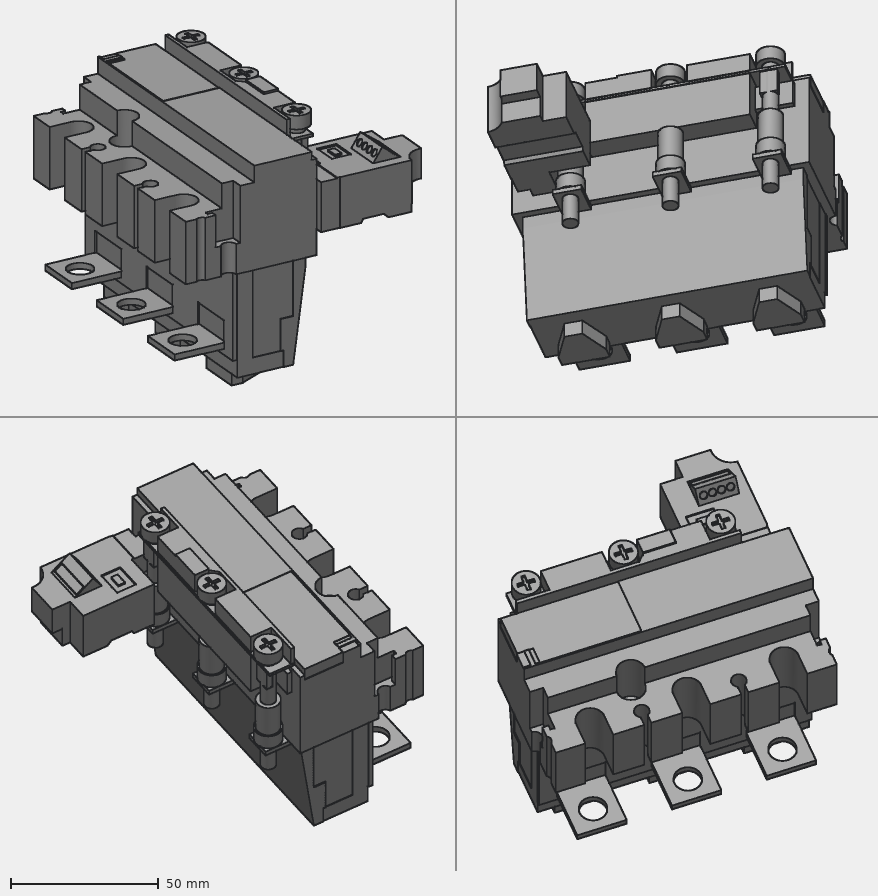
import cadquery as cq
import math

TURN = -1.0
SIDES = (-1, 1)

HOUSING_X = (-52.2, 52.5)
MID_X = sum(HOUSING_X) / 2
HOUSING_REAR = 2.6
TOP_REAR, TOP_FRONT = 0.7, -21.8
SHELF_FRONT = -31.7
BASE_FRONT = -47.8
BOTTOM_Z, BASE_Z, SHELF_Z, TOP_Z = 0.5, 23.7, 32.9, 39.1
REAR_LEDGE_Z = 36.2
LINE_DEPTH = 0.2

COVER_RIGHT, COVER_FRONT, FLAP_BOTTOM = -9.5, -21.3, 34.2
FINGER_SLOTS_X = ((HOUSING_X[0], -49.5), (-47.8, -46.2))
SLOTS_Y = (-21.0, -14.7)

BASE_HALF_WIDTH = 51.4
BASE_TIP_HALF_WIDTH = 50.9
SLOT_RADIUS, SLOT_PITCH, SLOT_Y = 5.0, 35.2, -39.4
KEY_RADIUS, KEY_WIDTH, KEY_Y = 2.6, 2.5, -42.1
MOUNT_X, MOUNT_Y, MOUNT_RADIUS, MOUNT_BORE_RADIUS = -17.4, -31.8, 3.2, 5.0
CORNER_HALF_X, CORNER_REAR, CORNER_FRONT, CORNER_Z = 47.6, -27.3, -36.3, 11.8
CORNER_TAIL_FRONT, CORNER_TAIL_WIDTH = -38.1, 1.6
SIDE_HOLE_RADIUS = 2.7
SIDE_GROOVE_RADIUS = 2.0

LOWER_X = (-49.4, 49.5)
LOWER_REAR, LOWER_REAR_BOTTOM, SLOPE_TOP = 0.1, -4.7, -4.2
STRIP_REAR, STRIP_FOOT_REAR = -20.4, -8.5
PANEL_REAR, PANEL_STEP_Y, PANEL_STEP_Z, PANEL_FOOT = -4.7, -9.6, -21.6, -33.5
PANEL_FRONT, LOWER_FRONT = -28.4, -26.5
PANEL_Z, LOWER_Z = -32.8, -39.6

TERMINAL_X, TERMINAL_PITCH = 0.3, 34.3
TAB_WIDTH, TAB_BOTTOM, TAB_TOP = 17.9, -30.6, -28.3
TAB_HOLE_RADIUS, TAB_HOLE_Y = 4.8, -39.4
WINDOW_WIDTH, WINDOW_TOP, WINDOW_DEPTH = 17.6, -20.1, 0.6
FOOT_WIDTH, FOOT_BOTTOM = 16.8, -45.1
FOOT_FRONT, FOOT_BEND, FOOT_REAR, FOOT_TAPER = -25.2, -20.8, -10.1, 5.3

WALL_X = (-46.0, 35.3)
WALL_FRONT, WALL_REAR, WALL_Z = 0.9, 2.3, 44.4
CARRIER_X = (-33.7, 24.4)
CARRIER_REAR, CARRIER_BOTTOM = 10.6, 18.8
PLATE_X, PLATE_REAR, PLATE_TOP = (-46.1, 35.9), 10.9, 37.3
POCKET_X, POCKET_CHAMFER = (-11.5, 1.5), 2.7
PAD_X, PAD_Y, PAD_TOP = (1.2, 13.2), (4.9, 10.6), 45.1
LUG_WIDTH, LUG_REAR, LUG_BOTTOM = 10.1, 12.0, -1.3
RIB_X, RIB_REAR, RIB_Z = -47.0, 4.5, (25.3, 34.7)
GUIDE_WIDTH, GUIDE_Y, GUIDE_BOTTOM = 6.1, (7.9, 10.3), 27.3
SCREW_X, SCREW_PITCH, SCREW_Y = -4.8, 35.3, 7.7
CROSS_LENGTH, CROSS_WIDTH, CROSS_DEPTH = 6.1, 1.3, 1.0
SCREW_STEPS = (
    (2.7, -11.6, BOTTOM_Z),
    (4.9, BOTTOM_Z, 6.1),
    (4.3, 6.1, CARRIER_BOTTOM),
    (2.7, CARRIER_BOTTOM, PLATE_TOP),
    (2.9, PLATE_TOP, 39.6),
    (4.9, 39.6, 44.7),
)

CONN_X = (21.8, 49.6)
CONN_FRONT, CONN_TOP, CONN_BOTTOM = 13.6, 25.8, 6.6
CONN_SHOULDER_X, CONN_SHOULDER_Y, CONN_REAR = 30.0, 42.2, 49.4
CONN_SCOOP = ((42.8, 49.4), (44.5, 44.0), (49.6, 41.6))
CONN_STEP_Y, CONN_STEP_Z = 45.3, 14.6
NOTCH_Y, NOTCH_Z, CONN_FRONT_Z = (21.8, 32.5), 8.3, 6.9
NECK_X, NECK_STEP_X, NECK_STEP_Y, NECK_TOP = (36.1, 49.4), 45.0, 6.2, 25.5
NECK_ROOT_FRONT = 12.5
WEDGE_X, WEDGE_Y, WEDGE_RIDGE_Y, WEDGE_Z = (30.7, 45.4), (28.9, 39.8), 32.5, 31.0
WEDGE_GROOVE_Y, WEDGE_GROOVE_DEPTH = (35.9, 38.8), 0.4
SOCKET_COUNT, SOCKET_PITCH, SOCKET_RADIUS, SOCKET_DEPTH = 4, 3.3, 1.4, 0.5
LATCH_X, LATCH_Y = (25.0, 35.0), (18.8, 26.4)
LATCH_KEY_X, LATCH_KEY_Y = (27.9, 32.5), (21.5, 24.1)


def box(x, y, z):
    """Block between the two ends given for each axis."""
    size = [abs(ends[1] - ends[0]) for ends in (x, y, z)]
    return cq.Workplane("XY").box(*size, centered=False).translate((min(x), min(y), min(z)))


def centred_box(x, width, y, z):
    return box((x - width / 2, x + width / 2), y, z)


def cylinder(x, y, radius, z):
    return cq.Workplane("XY").workplane(offset=z[0]).center(x, y).circle(radius).extrude(z[1] - z[0])


def side_profile(points, x):
    """Outline in Y and Z swept between two X positions."""
    return cq.Workplane("YZ").workplane(offset=x[0]).polyline(points).close().extrude(x[1] - x[0])


def plan(points, z):
    return cq.Workplane("XY").workplane(offset=z[0]).polyline(points).close().extrude(z[1] - z[0])


def three_of(centre, pitch):
    return [centre + i * pitch for i in (-1, 0, 1)]


def housing():
    body = side_profile([
        (HOUSING_REAR, BOTTOM_Z), (HOUSING_REAR, REAR_LEDGE_Z), (TOP_REAR, REAR_LEDGE_Z),
        (TOP_REAR, TOP_Z), (TOP_FRONT, TOP_Z), (TOP_FRONT, SHELF_Z), (SHELF_FRONT, SHELF_Z),
        (SHELF_FRONT, BASE_Z), (BASE_FRONT, BASE_Z), (BASE_FRONT, BOTTOM_Z),
    ], HOUSING_X)
    full_z = (BOTTOM_Z, TOP_Z)
    for side in SIDES:
        outside = MID_X + side * HOUSING_X[1]
        edge = MID_X + side * BASE_HALF_WIDTH
        tip_edge = MID_X + side * BASE_TIP_HALF_WIDTH
        face = HOUSING_X[0] if side < 0 else HOUSING_X[1]
        corner = MID_X + side * CORNER_HALF_X
        body = body.cut(box((edge, outside), (SHELF_FRONT, BASE_FRONT), (BOTTOM_Z, CORNER_Z)))
        body = body.cut(box((edge, outside), (CORNER_FRONT, BASE_FRONT), full_z))
        body = body.cut(box((tip_edge, outside), (KEY_Y, BASE_FRONT), full_z))
        pocket_z = (CORNER_Z, TOP_Z)
        body = body.cut(box((corner, outside), (CORNER_REAR, CORNER_FRONT), pocket_z))
        tail_x = (corner, corner + side * CORNER_TAIL_WIDTH)
        body = body.cut(box(tail_x, (CORNER_FRONT, CORNER_TAIL_FRONT), pocket_z))
        body = body.cut(cylinder(face, SHELF_FRONT, SIDE_HOLE_RADIUS, full_z))
        body = body.cut(cylinder(edge + side * SIDE_GROOVE_RADIUS / 2, KEY_Y, SIDE_GROOVE_RADIUS, full_z))

    for x in three_of(MID_X, SLOT_PITCH):
        body = body.cut(cylinder(x, SLOT_Y, SLOT_RADIUS, full_z))
        body = body.cut(centred_box(x, 2 * SLOT_RADIUS, (BASE_FRONT, SLOT_Y), full_z))
    for side in SIDES:
        x = MID_X + side * SLOT_PITCH / 2
        body = body.cut(cylinder(x, KEY_Y, KEY_RADIUS, full_z))
        body = body.cut(centred_box(x, KEY_WIDTH, (BASE_FRONT, KEY_Y), full_z))
    body = body.cut(cylinder(MOUNT_X, MOUNT_Y, MOUNT_RADIUS, full_z))
    return body.cut(cylinder(MOUNT_X, MOUNT_Y, MOUNT_BORE_RADIUS, (CORNER_Z, TOP_Z)))


def cover_marks():
    """Shallow recess of the setting cover, its side flap and two finger slots."""
    left = HOUSING_X[0]
    mark_z = (TOP_Z - LINE_DEPTH, TOP_Z)
    marks = box((left, COVER_RIGHT), (SLOTS_Y[1], TOP_REAR), mark_z)
    marks = marks.union(box((FINGER_SLOTS_X[1][1], COVER_RIGHT), (COVER_FRONT, SLOTS_Y[1]), mark_z))
    marks = marks.union(box((left, left + LINE_DEPTH), (SLOTS_Y[1], TOP_REAR), (FLAP_BOTTOM, TOP_Z)))
    for x in FINGER_SLOTS_X:
        marks = marks.union(box(x, SLOTS_Y, (TOP_Z - 2 * LINE_DEPTH, TOP_Z)))
    return marks


def lower_housing():
    body = side_profile([
        (LOWER_REAR, SLOPE_TOP), (LOWER_REAR, BOTTOM_Z), (PANEL_FRONT, BOTTOM_Z), (PANEL_FRONT, PANEL_Z),
        (LOWER_FRONT, PANEL_Z), (LOWER_FRONT, LOWER_Z), (LOWER_REAR_BOTTOM, LOWER_Z),
    ], LOWER_X)
    strip = [
        (STRIP_REAR, BOTTOM_Z), (LOWER_FRONT - LINE_DEPTH, BOTTOM_Z), (LOWER_FRONT - LINE_DEPTH, LOWER_Z),
        (STRIP_FOOT_REAR, LOWER_Z), (STRIP_FOOT_REAR, PANEL_FOOT), (STRIP_REAR, PANEL_FOOT),
    ]
    panel = [
        (PANEL_REAR, BOTTOM_Z), (STRIP_REAR, BOTTOM_Z), (STRIP_REAR, PANEL_FOOT),
        (PANEL_STEP_Y, PANEL_FOOT), (PANEL_STEP_Y, PANEL_STEP_Z), (PANEL_REAR, PANEL_STEP_Z),
    ]
    for side, face in zip(SIDES, LOWER_X):
        for outline, depth in ((strip, LINE_DEPTH), (panel, 2 * LINE_DEPTH)):
            body = body.cut(side_profile(outline, sorted((face, face - side * depth))))
    return body


def add_terminals(body):
    for x in three_of(TERMINAL_X, TERMINAL_PITCH):
        window_y = (PANEL_FRONT, PANEL_FRONT + WINDOW_DEPTH)
        body = body.cut(centred_box(x, WINDOW_WIDTH, window_y, (TAB_TOP, WINDOW_TOP)))
        tab = centred_box(x, TAB_WIDTH, (BASE_FRONT, LOWER_FRONT), (TAB_BOTTOM, TAB_TOP))
        body = body.union(tab.cut(cylinder(x, TAB_HOLE_Y, TAB_HOLE_RADIUS, (TAB_BOTTOM, TAB_TOP))))
        half = FOOT_WIDTH / 2
        foot = plan([
            (x - half, FOOT_FRONT), (x + half, FOOT_FRONT), (x + half, FOOT_BEND),
            (x + half - FOOT_TAPER, FOOT_REAR), (x - half + FOOT_TAPER, FOOT_REAR), (x - half, FOOT_BEND),
        ], (FOOT_BOTTOM, LOWER_Z))
        body = body.union(foot)
    return body


def screw(x):
    body = cylinder(x, SCREW_Y, SCREW_STEPS[0][0], SCREW_STEPS[0][1:])
    for radius, low, high in SCREW_STEPS[1:]:
        body = body.union(cylinder(x, SCREW_Y, radius, (low, high)))
    top = SCREW_STEPS[-1][2]
    cross_z = (top - CROSS_DEPTH, top)
    for length, width in ((CROSS_LENGTH, CROSS_WIDTH), (CROSS_WIDTH, CROSS_LENGTH)):
        body = body.cut(centred_box(x, length, (SCREW_Y - width / 2, SCREW_Y + width / 2), cross_z))
    return body


def screw_carrier():
    """Wall behind the top, the block between the screws and the plate under their heads."""
    body = box(WALL_X, (WALL_FRONT, WALL_REAR), (REAR_LEDGE_Z, WALL_Z))
    block = box(CARRIER_X, (WALL_FRONT, CARRIER_REAR), (CARRIER_BOTTOM, WALL_Z))
    pocket = box(POCKET_X, (WALL_REAR, CARRIER_REAR), (PLATE_TOP, WALL_Z))
    pocket = pocket.edges("|Z and >X and <Y").chamfer(POCKET_CHAMFER)
    block = block.cut(pocket)
    body = body.union(block)
    body = body.union(box(PLATE_X, (WALL_FRONT, PLATE_REAR), (REAR_LEDGE_Z, PLATE_TOP)))
    body = body.union(box(PAD_X, PAD_Y, (PLATE_TOP, PAD_TOP)))
    body = body.union(box((RIB_X, CARRIER_X[0]), (WALL_FRONT, RIB_REAR), RIB_Z))
    for x in three_of(SCREW_X, SCREW_PITCH):
        body = body.union(centred_box(x, LUG_WIDTH, (PANEL_REAR, LUG_REAR), (LUG_BOTTOM, BOTTOM_Z)))
        body = body.union(centred_box(x, GUIDE_WIDTH, GUIDE_Y, (GUIDE_BOTTOM, REAR_LEDGE_Z)))
        body = body.union(screw(x))
    return body


def connector():
    outline = (
        cq.Workplane("XY").moveTo(CONN_X[0], CONN_FRONT).lineTo(CONN_X[0], CONN_SHOULDER_Y)
        .lineTo(CONN_SHOULDER_X, CONN_SHOULDER_Y).lineTo(CONN_SHOULDER_X, CONN_REAR)
        .lineTo(*CONN_SCOOP[0]).threePointArc(CONN_SCOOP[1], CONN_SCOOP[2])
        .lineTo(CONN_X[1], CONN_FRONT).close().extrude(CONN_TOP)
    )
    ramp = NOTCH_Z - CONN_BOTTOM
    profile = side_profile([
        (CONN_REAR, CONN_TOP), (CONN_REAR, CONN_STEP_Z), (CONN_STEP_Y, CONN_STEP_Z),
        (CONN_STEP_Y, CONN_BOTTOM), (NOTCH_Y[1], CONN_BOTTOM), (NOTCH_Y[1] - ramp, NOTCH_Z),
        (NOTCH_Y[0] + ramp / 2, NOTCH_Z), (NOTCH_Y[0], CONN_FRONT_Z), (CONN_FRONT, CONN_FRONT_Z),
        (CONN_FRONT, CONN_TOP),
    ], CONN_X)
    body = outline.intersect(profile)
    latch_z = (CONN_TOP - WINDOW_DEPTH, CONN_TOP)
    body = body.cut(box(LATCH_X, LATCH_Y, latch_z)).union(box(LATCH_KEY_X, LATCH_KEY_Y, latch_z))
    neck = box(NECK_X, (WALL_REAR, CONN_FRONT), (CONN_FRONT_Z, NECK_TOP))
    neck = neck.cut(box((NECK_STEP_X, NECK_X[1]), (HOUSING_REAR, NECK_STEP_Y), (CONN_FRONT_Z, NECK_TOP)))
    neck = neck.union(box(NECK_X, (NECK_ROOT_FRONT, CONN_FRONT), (CONN_FRONT_Z, CONN_TOP)))
    return body.union(neck).union(wedge())


def wedge():
    """Ridge on the connector with four wire sockets in its front slope."""
    body = side_profile([(WEDGE_Y[0], CONN_TOP), (WEDGE_Y[1], CONN_TOP), (WEDGE_RIDGE_Y, WEDGE_Z)], WEDGE_X)
    height = WEDGE_Z - CONN_TOP

    def rear_slope(y):
        return CONN_TOP + height * (WEDGE_Y[1] - y) / (WEDGE_Y[1] - WEDGE_RIDGE_Y)

    upper = [(y, rear_slope(y)) for y in WEDGE_GROOVE_Y]
    lower = [(y, z - WEDGE_GROOVE_DEPTH) for y, z in reversed(upper)]
    groove_x = (WEDGE_X[0] + WEDGE_GROOVE_DEPTH, WEDGE_X[1] - WEDGE_GROOVE_DEPTH)
    body = body.cut(side_profile(upper + lower, groove_x))

    run = WEDGE_RIDGE_Y - WEDGE_Y[0]
    slope = math.hypot(run, height)
    slope_middle = ((WEDGE_X[0] + WEDGE_X[1]) / 2, WEDGE_Y[0] + run / 2, CONN_TOP + height / 2)
    face = cq.Plane(origin=slope_middle, xDir=(1, 0, 0), normal=(0, -height / slope, run / slope))
    sockets = (
        cq.Workplane(face).rarray(SOCKET_PITCH, 1, SOCKET_COUNT, 1)
        .circle(SOCKET_RADIUS).extrude(-SOCKET_DEPTH)
    )
    return body.cut(sockets)


body = housing().cut(cover_marks()).union(lower_housing())
body = add_terminals(body)
body = body.union(screw_carrier()).union(connector())
result = body.rotate((0, 0, 0), (0, 0, 1), TURN)